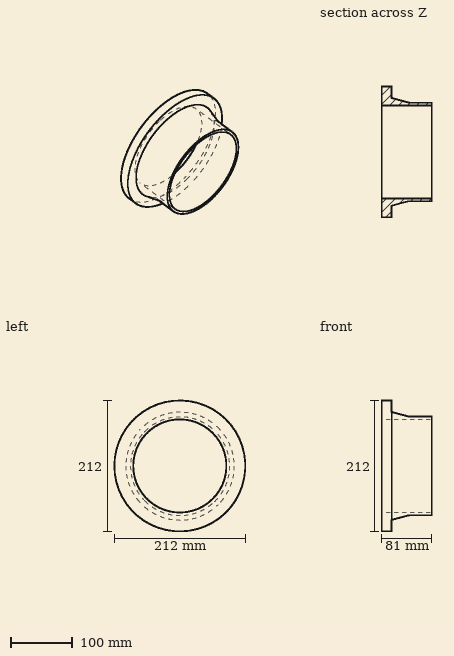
import cadquery as cq

total_length = 81.0
flange_thickness = 16.0
flange_diameter = 212.0
cone_end_x = 44.0
cone_base_diameter = 175.0
spigot_diameter = 160.0
bore_diameter = 150.2

bore_radius = bore_diameter / 2
flange_radius = flange_diameter / 2
cone_base_radius = cone_base_diameter / 2
spigot_radius = spigot_diameter / 2


def make_collar():
    """Revolve the wall section: X along the axis, Y as the radius."""
    section = (
        cq.Workplane("XY")
        .moveTo(0, bore_radius)
        .lineTo(0, flange_radius)
        .lineTo(flange_thickness, flange_radius)
        .lineTo(flange_thickness, cone_base_radius)
        .lineTo(cone_end_x, spigot_radius)
        .lineTo(total_length, spigot_radius)
        .lineTo(total_length, bore_radius)
        .close()
    )
    return section.revolve(360, (0, 0, 0), (1, 0, 0))


result = make_collar()